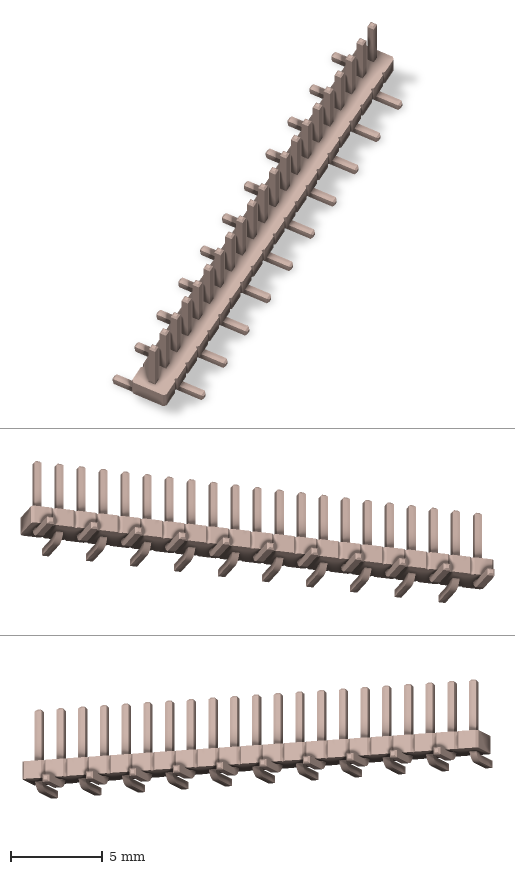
import cadquery as cq

pin_count = 21
row_length = 26.67
pitch = row_length / pin_count
housing_width = 2.13
housing_bottom = 0.5
housing_height = 1.0
corner_cut = 0.13

overall_height = 4.5
overall_width = 5.0
wire = 0.4
half_wire = wire / 2
inner_bend_radius = wire
outer_bend_radius = inner_bend_radius + wire
tip_length = 0.1
tip_width = wire / 2


def make_segment():
    """One housing segment with its four vertical corners chamfered."""
    base = cq.Workplane("XY").workplane(offset=housing_bottom)
    block = base.rect(housing_width, pitch).extrude(housing_height)
    return block.edges("|Z").chamfer(corner_cut)


def make_tip(start, direction):
    """Tapered square tip that starts at a wire end and points along direction."""
    plane = cq.Plane(origin=start, xDir=(0, 1, 0), normal=direction)
    base = cq.Workplane(plane).rect(wire, wire)
    return base.workplane(offset=tip_length).rect(tip_width, tip_width).loft(ruled=True)


def make_pin():
    """Pin with an upright post and a foot that points toward -X."""
    post_end = overall_height - tip_length
    foot_end = tip_length - overall_width / 2
    bend_x = -half_wire - inner_bend_radius
    bend_z = outer_bend_radius
    side_profile = (
        cq.Workplane("XZ")
        .moveTo(half_wire, post_end)
        .lineTo(half_wire, bend_z)
        .radiusArc((bend_x, 0), outer_bend_radius)
        .lineTo(foot_end, 0)
        .lineTo(foot_end, wire)
        .lineTo(bend_x, wire)
        .radiusArc((-half_wire, bend_z), -inner_bend_radius)
        .lineTo(-half_wire, post_end)
        .close()
    )
    pin = side_profile.extrude(half_wire, both=True)
    pin = pin.union(make_tip((0, 0, post_end), (0, 0, 1)))
    return pin.union(make_tip((foot_end, 0, half_wire), (-1, 0, 0)))


left_unit = make_segment().union(make_pin())
right_unit = left_unit.mirror("YZ")
units = []
for index in range(pin_count):
    unit = left_unit if index % 2 == 0 else right_unit
    y = (index - (pin_count - 1) / 2) * pitch
    units.append(unit.translate((0, y, 0)).val())

row = units[0].fuse(*units[1:]).clean()
result = cq.Workplane(row.Solids()[0])